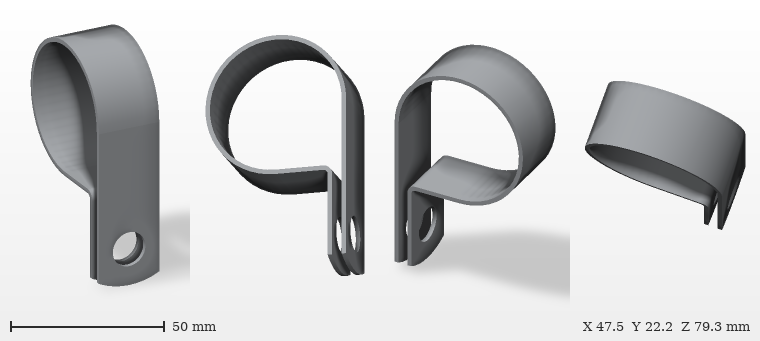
import cadquery as cq

loop_diameter = 47.5
total_height = 79.3
width = 22.2
thickness = 1.5
leg_gap = 3.25
bend_inner_radius = 1.5
hole_diameter = 12.0
hole_height = 12.7
tip_rise = 2.6

outer_radius = loop_diameter / 2
inner_radius = outer_radius - thickness
bend_outer_radius = bend_inner_radius + thickness
leg_bottom = outer_radius - total_height
short_leg_outer_x = inner_radius - leg_gap
short_leg_inner_x = short_leg_outer_x - thickness
bend_x = short_leg_outer_x - bend_outer_radius
bend_z = -inner_radius - bend_outer_radius
hole_z = leg_bottom + hole_height


def make_strip():
    """Bent strip: long leg, three-quarter loop, flat shelf, bend and short leg."""
    diagonal = 0.5 ** 0.5
    bend_outer_mid = (bend_x + bend_outer_radius * diagonal, bend_z + bend_outer_radius * diagonal)
    bend_inner_mid = (bend_x + bend_inner_radius * diagonal, bend_z + bend_inner_radius * diagonal)
    loop_outer_mid = (-outer_radius * diagonal, outer_radius * diagonal)
    loop_inner_mid = (-inner_radius * diagonal, inner_radius * diagonal)
    return (
        cq.Workplane("XZ")
        .moveTo(outer_radius, leg_bottom)
        .lineTo(outer_radius, 0)
        .threePointArc(loop_outer_mid, (0, -outer_radius))
        .lineTo(bend_x, -outer_radius)
        .threePointArc(bend_inner_mid, (short_leg_inner_x, bend_z))
        .lineTo(short_leg_inner_x, leg_bottom)
        .lineTo(short_leg_outer_x, leg_bottom)
        .lineTo(short_leg_outer_x, bend_z)
        .threePointArc(bend_outer_mid, (bend_x, -inner_radius))
        .lineTo(0, -inner_radius)
        .threePointArc(loop_inner_mid, (inner_radius, 0))
        .lineTo(inner_radius, leg_bottom)
        .close()
        .extrude(width / 2, both=True)
    )


def make_rounded_envelope():
    """Block around the whole strip whose lower end is a shallow arc."""
    half_width = width / 2
    shoulder_z = leg_bottom + tip_rise
    return (
        cq.Workplane("YZ")
        .moveTo(-half_width, outer_radius)
        .lineTo(-half_width, shoulder_z)
        .threePointArc((0, leg_bottom), (half_width, shoulder_z))
        .lineTo(half_width, outer_radius)
        .close()
        .extrude(outer_radius, both=True)
    )


def make_bolt_hole():
    """Cylinder along X that passes through both legs."""
    return (
        cq.Workplane("YZ")
        .center(0, hole_z)
        .circle(hole_diameter / 2)
        .extrude(outer_radius)
    )


result = make_strip().intersect(make_rounded_envelope()).cut(make_bolt_hole())